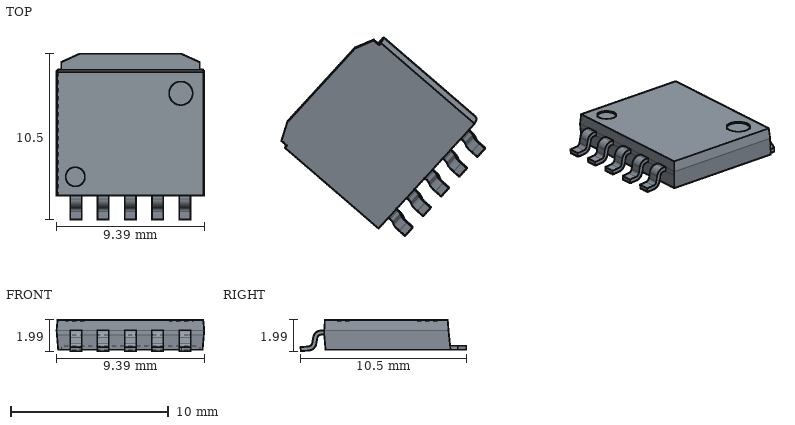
import cadquery as cq
import math

body_width = 9.39
body_height = 1.91
parting_z = 1.24
top_side_inset = 0.06
bottom_side_inset = 0.11
front_parting_y = -3.76
front_top_y = -3.72
front_bottom_y = -3.68
back_parting_y = 4.14
back_top_y = 4.09
back_bottom_y = 4.27

overall_length = 10.54
sheet_thickness = 0.27
tab_width = 8.81
tab_corner_x = 1.18
tab_corner_y = 0.54
lead_count = 5
lead_pitch = 1.73
lead_width = 0.74
lead_shoulder_y = -3.94
lead_foot_drop = 0.08
inner_bend_radius = 0.25
leg_angle = math.radians(80)
foot_angle = math.radians(5)

mark_depth = 0.1
mould_marks = [(3.2, 2.75, 0.75), (-3.5, -2.55, 0.61)]

back_end_y = overall_length / 2
front_end_y = -overall_length / 2


def body_layer(lower, upper):
    """Straight-sided solid between two sections (z, half width, front y, back y)."""
    wires = []
    for z, half_width, front_y, back_y in (lower, upper):
        corners = [
            cq.Vector(-half_width, front_y, z),
            cq.Vector(half_width, front_y, z),
            cq.Vector(half_width, back_y, z),
            cq.Vector(-half_width, back_y, z),
        ]
        wires.append(cq.Wire.makePolygon(corners, close=True))
    return cq.Workplane(obj=cq.Solid.makeLoft(wires, True))


def make_body():
    half_width = body_width / 2
    band_z = parting_z - sheet_thickness
    band_fraction = sheet_thickness / parting_z
    band_half_width = half_width - bottom_side_inset * band_fraction
    band_back_y = back_parting_y + (back_bottom_y - back_parting_y) * band_fraction

    bottom = (0, half_width - bottom_side_inset, front_bottom_y, back_bottom_y)
    band = (band_z, band_half_width, front_parting_y, band_back_y)
    parting = (parting_z, half_width, front_parting_y, back_parting_y)
    top = (body_height, half_width - top_side_inset, front_top_y, back_top_y)

    body = body_layer(bottom, band)
    body = body.union(body_layer(band, parting))
    return body.union(body_layer(parting, top))


def make_tab():
    half_width = tab_width / 2
    outline = [
        (-half_width, 0),
        (-half_width, back_end_y - tab_corner_y),
        (-half_width + tab_corner_x, back_end_y),
        (half_width - tab_corner_x, back_end_y),
        (half_width, back_end_y - tab_corner_y),
        (half_width, 0),
    ]
    return cq.Workplane("XY").polyline(outline).close().extrude(sheet_thickness)


def on_circle(center, radius, angle):
    """Point in (y, z), with the angle measured from +Z towards the front."""
    return (center[0] - radius * math.sin(angle), center[1] + radius * math.cos(angle))


def make_lead(x_center):
    outer_bend_radius = inner_bend_radius + sheet_thickness
    bend_sum = inner_bend_radius + outer_bend_radius
    root_y = front_parting_y + sheet_thickness
    shoulder_center = (lead_shoulder_y, parting_z - outer_bend_radius)

    foot_end_top = (front_end_y, sheet_thickness * math.cos(foot_angle) - lead_foot_drop)
    foot_end_bottom = (front_end_y + sheet_thickness * math.sin(foot_angle), -lead_foot_drop)

    leg_y, leg_z = -math.cos(leg_angle), -math.sin(leg_angle)
    foot_y, foot_z = -math.cos(foot_angle), -math.sin(foot_angle)
    start = on_circle(shoulder_center, bend_sum, leg_angle)
    target = on_circle(foot_end_top, inner_bend_radius, foot_angle)
    gap_y, gap_z = target[0] - start[0], target[1] - start[1]
    leg_length = (gap_y * foot_z - gap_z * foot_y) / (leg_y * foot_z - leg_z * foot_y)
    ankle_center = (start[0] + leg_length * leg_y, start[1] + leg_length * leg_z)

    mid_shoulder = leg_angle / 2
    mid_ankle = (leg_angle + foot_angle) / 2

    def shoulder(radius, angle):
        return on_circle(shoulder_center, radius, angle)

    def ankle(radius, angle):
        return on_circle(ankle_center, -radius, angle)

    return (
        cq.Workplane("YZ", origin=(x_center - lead_width / 2, 0, 0))
        .moveTo(root_y, parting_z)
        .lineTo(lead_shoulder_y, parting_z)
        .threePointArc(shoulder(outer_bend_radius, mid_shoulder), shoulder(outer_bend_radius, leg_angle))
        .lineTo(*ankle(inner_bend_radius, leg_angle))
        .threePointArc(ankle(inner_bend_radius, mid_ankle), ankle(inner_bend_radius, foot_angle))
        .lineTo(*foot_end_top)
        .lineTo(*foot_end_bottom)
        .lineTo(*ankle(outer_bend_radius, foot_angle))
        .threePointArc(ankle(outer_bend_radius, mid_ankle), ankle(outer_bend_radius, leg_angle))
        .lineTo(*shoulder(inner_bend_radius, leg_angle))
        .threePointArc(shoulder(inner_bend_radius, mid_shoulder), shoulder(inner_bend_radius, 0))
        .lineTo(root_y, parting_z - sheet_thickness)
        .close()
        .extrude(lead_width)
    )


def make_mark(x, y, radius):
    return cq.Workplane("XY", origin=(x, y, body_height - mark_depth)).circle(radius).extrude(mark_depth)


result = make_body().union(make_tab())

for index in range(lead_count):
    lead_x = (index - (lead_count - 1) / 2) * lead_pitch
    result = result.union(make_lead(lead_x))

for mark in mould_marks:
    result = result.cut(make_mark(*mark))